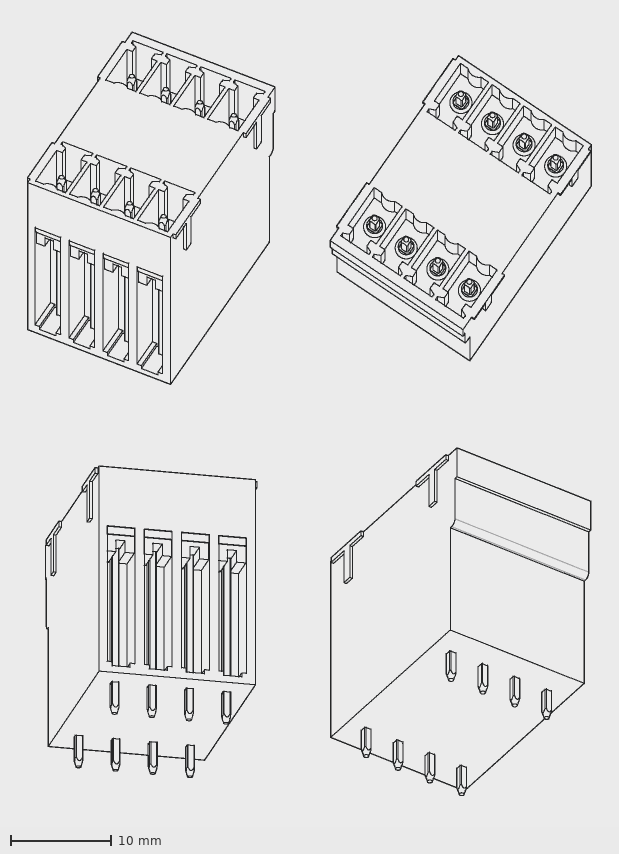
import cadquery as cq
import math


housing_width = 16.03
housing_depth = 22.7
housing_height = 21.9

rear_wall_y = 21.5
rear_step_y = 22.33
rear_step_height = 9.2
rear_lip_height = 3.6
rear_step_bottom = housing_height - rear_step_height
rear_lip_bottom = housing_height - rear_lip_height
rear_step_radius = 0.6

contacts_per_row = 4
contact_pitch = 3.81
row_pitch = 15.24
front_row_y = 2.95
contact_xs = [(i - (contacts_per_row - 1) / 2) * contact_pitch for i in range(contacts_per_row)]
row_ys = [front_row_y, front_row_y + row_pitch]

pin_size = 0.8
pin_edge_chamfer = 0.1
pin_bottom = -3.2
pin_top = 20.95
tip_radius = 0.25
tip_height = 0.85
corner_radius = math.hypot(pin_size / 2, pin_size / 2 - pin_edge_chamfer)

cavity_half_width = 1.69
cavity_front = -2.4
cavity_back = 3.51
cavity_depth = 5.5
cavity_floor = housing_height - cavity_depth
rib_half_gap = 1.05
rib_front = 2.2
rib_tip_back = 2.9
rib_root_back = 3.18
bump_half_width = 0.78
bump_rise = 0.33

boss_base_radius = 1.1
boss_top_radius = 0.8
boss_height = 0.6
boss_pocket_size = 1.2
boss_pocket_corner_chamfer = 0.15
boss_pocket_depth = 0.2

slot_offset = -0.045
slot_width = 2.84
slot_depth = front_row_y + pin_size / 2
slot_bottom = 1.14
slot_top = 13.03
groove_width = 1.86
groove_bottom = 0.72
notch_width = 0.95
notch_top = 14.27
lower_recess_depth = 0.3
lower_recess_top = 14.8
upper_recess_depth = 0.15
upper_recess_top = 15.6

key_thickness = 0.3
key_bar_height = 0.6
key_bar_back = 2.95
key_stem_front = -0.1
key_stem_back = 0.95
key_height = 4.55


def block(x_min, x_max, y_min, y_max, z_min, z_max):
    """Box given by its limits along each axis."""
    size = (x_max - x_min, y_max - y_min, z_max - z_min)
    return cq.Workplane("XY").box(*size, centered=False).translate((x_min, y_min, z_min))


def slot_block(x, width, depth, z_min, z_max):
    """Box centred on x that runs back from the front face."""
    return block(x - width / 2, x + width / 2, 0, depth, z_min, z_max)


def make_shell():
    """Solid housing with the stepped rear wall."""
    profile = (
        cq.Workplane("YZ")
        .moveTo(0, 0)
        .lineTo(rear_wall_y, 0)
        .lineTo(rear_wall_y, rear_step_bottom)
        .lineTo(rear_step_y - rear_step_radius, rear_step_bottom)
        .radiusArc((rear_step_y, rear_step_bottom + rear_step_radius), -rear_step_radius)
        .lineTo(rear_step_y, rear_lip_bottom)
        .lineTo(housing_depth, rear_lip_bottom)
        .lineTo(housing_depth, housing_height)
        .lineTo(0, housing_height)
        .close()
    )
    return profile.extrude(housing_width / 2, both=True)


def make_keys(row_y):
    """T-shaped key pair of one row, as one bar and one stem across the housing."""
    reach = housing_width / 2 + key_thickness
    bar = block(
        -reach, reach, row_y + cavity_front, row_y + key_bar_back,
        housing_height - key_bar_height, housing_height,
    )
    stem = block(
        -reach, reach, row_y + key_stem_front, row_y + key_stem_back,
        housing_height - key_height, housing_height,
    )
    return bar.union(stem)


def make_cavity(x, row_y):
    """Plug cavity with two guide ribs, a bulged front wall and a boss on its floor."""
    cavity = (
        cq.Workplane("XY", origin=(x, row_y, cavity_floor))
        .moveTo(-cavity_half_width, cavity_front)
        .lineTo(-bump_half_width, cavity_front)
        .threePointArc((0, cavity_front + bump_rise), (bump_half_width, cavity_front))
        .lineTo(cavity_half_width, cavity_front)
        .lineTo(cavity_half_width, rib_front)
        .lineTo(rib_half_gap, rib_front)
        .lineTo(rib_half_gap, rib_tip_back)
        .lineTo(cavity_half_width, rib_root_back)
        .lineTo(cavity_half_width, cavity_back)
        .lineTo(-cavity_half_width, cavity_back)
        .lineTo(-cavity_half_width, rib_root_back)
        .lineTo(-rib_half_gap, rib_tip_back)
        .lineTo(-rib_half_gap, rib_front)
        .lineTo(-cavity_half_width, rib_front)
        .close()
        .extrude(cavity_depth)
    )
    boss = cq.Workplane(
        cq.Solid.makeCone(
            boss_base_radius, boss_top_radius, boss_height, pnt=cq.Vector(x, row_y, cavity_floor)
        )
    )
    pocket = (
        cq.Workplane("XY", origin=(x, row_y, cavity_floor + boss_height - boss_pocket_depth))
        .rect(boss_pocket_size, boss_pocket_size)
        .extrude(boss_pocket_depth)
        .edges("|Z")
        .chamfer(boss_pocket_corner_chamfer)
    )
    return cavity.cut(boss.cut(pocket))


def make_front_slot(x):
    """Pin slot with a floor groove, a pin notch above it and two shallow recesses."""
    slot = slot_block(x, slot_width, slot_depth, slot_bottom, slot_top)
    groove = slot_block(x, groove_width, slot_depth, groove_bottom, slot_bottom)
    notch = slot_block(x, notch_width, slot_depth, slot_top, notch_top)
    lower_recess = slot_block(x, slot_width, lower_recess_depth, slot_top, lower_recess_top)
    upper_recess = slot_block(x, slot_width, upper_recess_depth, lower_recess_top, upper_recess_top)
    return slot.union(groove).union(notch).union(lower_recess).union(upper_recess)


def make_pin(x, y):
    """Square pin with chamfered edges, its two ends turned to blunt cones."""
    bar = (
        cq.Workplane("XY", origin=(0, 0, pin_bottom))
        .rect(pin_size, pin_size)
        .extrude(pin_top - pin_bottom)
        .edges("|Z")
        .chamfer(pin_edge_chamfer)
    )
    turned_envelope = (
        cq.Workplane("XZ")
        .moveTo(0, pin_bottom)
        .lineTo(tip_radius, pin_bottom)
        .lineTo(corner_radius, pin_bottom + tip_height)
        .lineTo(corner_radius, pin_top - tip_height)
        .lineTo(tip_radius, pin_top)
        .lineTo(0, pin_top)
        .close()
        .revolve(360, (0, 0, 0), (0, 1, 0))
    )
    return bar.intersect(turned_envelope).translate((x, y, 0))


pins = [make_pin(x, y) for y in row_ys for x in contact_xs]

housing = make_shell()
for y in row_ys:
    housing = housing.union(make_keys(y))
for y in row_ys:
    for x in contact_xs:
        housing = housing.cut(make_cavity(x, y))
for x in contact_xs:
    housing = housing.cut(make_front_slot(x + slot_offset))
for pin in pins:
    housing = housing.cut(pin)

result = cq.Compound.makeCompound([housing.val(), *[pin.val() for pin in pins]])